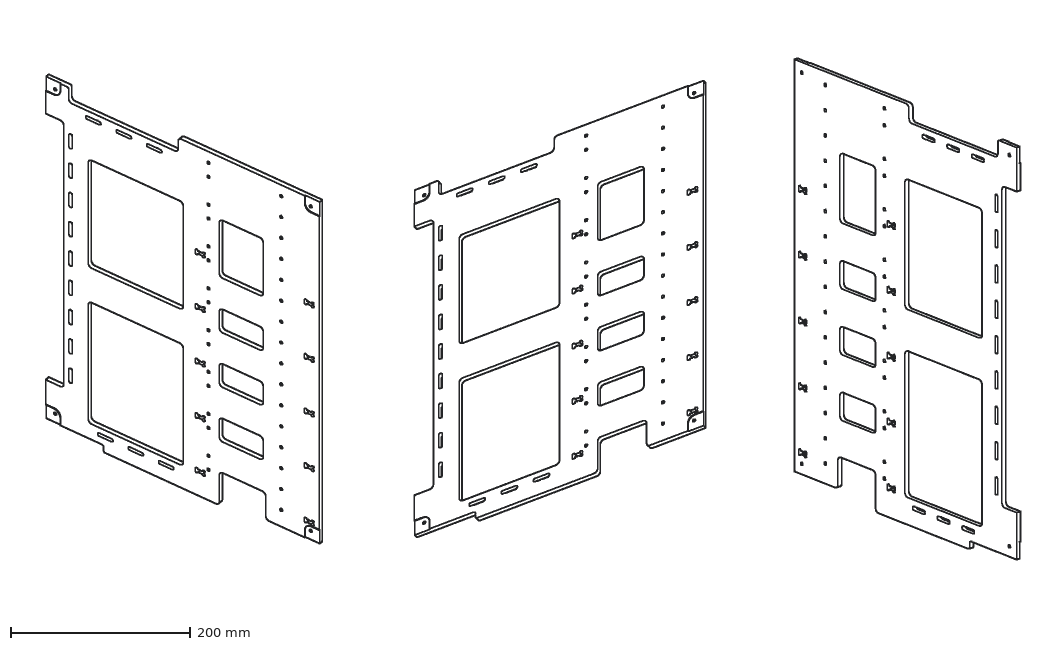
import cadquery as cq

WIDTH = 378.0
HEIGHT = 500.0
THICKNESS = 6.0
CORNER_RADIUS = 5.0
TIGHT_RADIUS = 2.5

BASE_Z = 10.0
TAB_LEFT = 80.0
TAB_RIGHT = 240.0
BOTTOM_NOTCH_RIGHT = 304.0
BOTTOM_NOTCH_TOP = 48.5
SIDE_NOTCH_DEPTH = 25.0
SIDE_NOTCH_BOTTOM = 66.0
SIDE_NOTCH_TOP = 447.5
TOP_NOTCH_LEFT = 32.0
TOP_NOTCH_RIGHT = 183.0
TOP_NOTCH_DEPTH = 21.0

HOLE_DIAMETER = 3.5
RECESS_SIZE = 20.0
RECESS_DEPTH = 1.0
CORNER_HOLE_INSET = 12.5
RECESS_RADIUS = 9.0

LARGE_WINDOW_LEFT = 59.0
LARGE_WINDOW_RIGHT = 190.0
LARGE_WINDOW_SPANS = [(32.5, 206.5), (256.0, 410.5)]
SMALL_WINDOW_WIDTH = 60.5
SMALL_WINDOW_HEIGHT = 33.5
SMALL_WINDOW_BOTTOM = 93.0
SMALL_WINDOW_COUNT = 3
TALL_WINDOW_TOP = 410.5
BAY_SPAN = 313.0
BAY_COUNT = 5
BAY_PITCH = BAY_SPAN / (BAY_COUNT - 1)

SLOT_LENGTH = 21.0
SLOT_WIDTH = 4.5
SLOT_PITCH = 42.0
SIDE_SLOT_X = 34.5
SIDE_SLOT_FIRST_Z = 88.0
SIDE_SLOT_COUNT = 9
EDGE_SLOT_COUNT = 3
TOP_SLOT_FIRST_X = 66.0
TOP_SLOT_Z = 469.0
BOTTOM_SLOT_FIRST_X = 82.5
BOTTOM_SLOT_Z = 22.5

HOLE_COLUMN_TOP = 484.0
PAIR_COLUMN_X = 225.0
PAIR_GAP = 20.0
PAIR_PITCH = 60.0
PAIR_COUNT = 8
SINGLE_COLUMN_X = 325.5
SINGLE_PITCH = PAIR_PITCH / 2
SINGLE_COUNT = 2 * PAIR_COUNT

BONE_LENGTH = 13.0
BONE_WIDTH = 4.0
BONE_COLUMNS = [213.5, 364.0]
BONE_FIRST_Z = 35.5


def front_plane():
    """Sketch plane on the front face: local x is X, local y is Z, the normal points to -Y."""
    return cq.Workplane("XZ")


def steps(first, pitch, count):
    return [first + i * pitch for i in range(count)]


def through(sketch):
    """Extrude a front-face sketch back through the whole plate."""
    return sketch.extrude(-THICKNESS)


def round_corners(body, corners, radius):
    """Fillet the through-thickness edge at each (x, z) corner."""
    for x, z in corners:
        nearest = cq.selectors.NearestToPointSelector((x, THICKNESS / 2, z))
        body = body.edges("|Y").edges(nearest).fillet(radius)
    return body


def plate():
    side_notch = [(SIDE_NOTCH_DEPTH, SIDE_NOTCH_TOP), (SIDE_NOTCH_DEPTH, SIDE_NOTCH_BOTTOM)]
    top_notch_floor = HEIGHT - TOP_NOTCH_DEPTH
    ear_tip = (TOP_NOTCH_LEFT, HEIGHT)
    top_notch = [
        (TOP_NOTCH_RIGHT, HEIGHT),
        (TOP_NOTCH_RIGHT, top_notch_floor),
        (TOP_NOTCH_LEFT, top_notch_floor),
    ]
    tab_step = [(TAB_LEFT, BASE_Z), (TAB_LEFT, 0)]
    bottom_notch = [
        (TAB_RIGHT, 0),
        (TAB_RIGHT, BOTTOM_NOTCH_TOP),
        (BOTTOM_NOTCH_RIGHT, BOTTOM_NOTCH_TOP),
        (BOTTOM_NOTCH_RIGHT, BASE_Z),
    ]
    outline = [
        (0, BASE_Z),
        *tab_step,
        *bottom_notch,
        (WIDTH, BASE_Z),
        (WIDTH, HEIGHT),
        *top_notch,
        ear_tip,
        (0, HEIGHT),
        (0, SIDE_NOTCH_TOP),
        *side_notch,
        (0, SIDE_NOTCH_BOTTOM),
    ]
    body = through(front_plane().polyline(outline).close())
    body = round_corners(body, bottom_notch + top_notch + side_notch, CORNER_RADIUS)
    return round_corners(body, tab_step + [ear_tip], TIGHT_RADIUS)


def window(left, right, bottom, top):
    center = ((left + right) / 2, (bottom + top) / 2)
    blank = through(front_plane().moveTo(*center).rect(right - left, top - bottom))
    return blank.edges("|Y").fillet(CORNER_RADIUS)


def windows():
    cutters = [window(LARGE_WINDOW_LEFT, LARGE_WINDOW_RIGHT, *span) for span in LARGE_WINDOW_SPANS]
    small_bottoms = steps(SMALL_WINDOW_BOTTOM, BAY_PITCH, SMALL_WINDOW_COUNT)
    spans = [(z, z + SMALL_WINDOW_HEIGHT) for z in small_bottoms]
    spans.append((SMALL_WINDOW_BOTTOM + SMALL_WINDOW_COUNT * BAY_PITCH, TALL_WINDOW_TOP))
    cutters += [window(TAB_RIGHT, TAB_RIGHT + SMALL_WINDOW_WIDTH, *span) for span in spans]
    return cutters


def slots():
    top = [(x, TOP_SLOT_Z) for x in steps(TOP_SLOT_FIRST_X, SLOT_PITCH, EDGE_SLOT_COUNT)]
    bottom = [(x, BOTTOM_SLOT_Z) for x in steps(BOTTOM_SLOT_FIRST_X, SLOT_PITCH, EDGE_SLOT_COUNT)]
    side = [(SIDE_SLOT_X, z) for z in steps(SIDE_SLOT_FIRST_Z, SLOT_PITCH, SIDE_SLOT_COUNT)]
    return [
        through(front_plane().pushPoints(top + bottom).slot2D(SLOT_LENGTH, SLOT_WIDTH)),
        through(front_plane().pushPoints(side).slot2D(SLOT_LENGTH, SLOT_WIDTH, 90)),
    ]


def dog_bones():
    centers = [(x, z) for x in BONE_COLUMNS for z in steps(BONE_FIRST_Z, BAY_PITCH, BAY_COUNT)]
    relief_x = (BONE_LENGTH - HOLE_DIAMETER) / 2
    relief_z = BONE_WIDTH / 2
    reliefs = [(x + i * relief_x, z + j * relief_z) for x, z in centers for i in (-1, 1) for j in (-1, 1)]
    return [
        through(front_plane().pushPoints(centers).rect(BONE_LENGTH, BONE_WIDTH)),
        through(front_plane().pushPoints(reliefs).circle(HOLE_DIAMETER / 2)),
    ]


def corner_recess(x, z, toward_x, toward_z):
    """Shallow front-face recess at corner (x, z), reaching into the plate along the given signs."""
    center = (x + toward_x * RECESS_SIZE / 2, z + toward_z * RECESS_SIZE / 2)
    inner = cq.selectors.NearestToPointSelector(
        (x + toward_x * RECESS_SIZE, RECESS_DEPTH / 2, z + toward_z * RECESS_SIZE)
    )
    blank = front_plane().moveTo(*center).rect(RECESS_SIZE, RECESS_SIZE).extrude(-RECESS_DEPTH)
    return blank.edges("|Y").edges(inner).fillet(RECESS_RADIUS)


def corner_features():
    corners = [(x, z, i, j) for x, i in ((0, 1), (WIDTH, -1)) for z, j in ((BASE_Z, 1), (HEIGHT, -1))]
    centers = [(x + i * CORNER_HOLE_INSET, z + j * CORNER_HOLE_INSET) for x, z, i, j in corners]
    holes = through(front_plane().pushPoints(centers).circle(HOLE_DIAMETER / 2))
    return [corner_recess(*corner) for corner in corners] + [holes]


def hole_columns():
    singles = [(SINGLE_COLUMN_X, z) for z in steps(HOLE_COLUMN_TOP, -SINGLE_PITCH, SINGLE_COUNT)]
    pair_tops = steps(HOLE_COLUMN_TOP, -PAIR_PITCH, PAIR_COUNT)
    pairs = [(PAIR_COLUMN_X, top - drop) for top in pair_tops for drop in (0, PAIR_GAP)]
    return [through(front_plane().pushPoints(singles + pairs).circle(HOLE_DIAMETER / 2))]


result = plate()
for cutter in windows() + slots() + dog_bones() + corner_features() + hole_columns():
    result = result.cut(cutter)